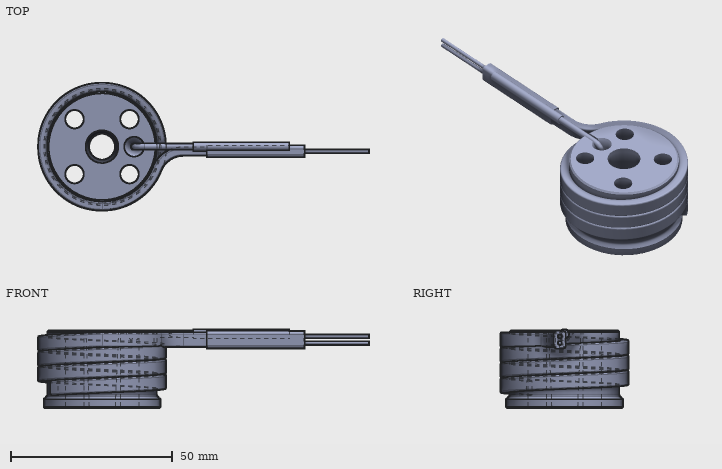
import cadquery as cq
import math

overall_length = 102.3

core_radius = 17.0
core_height = 24.0
rim_chamfer = 0.5
flange_radius = 18.1
flange_straight = 2.8
flange_slope_angle = 45
flange_slope = flange_radius - core_radius
flange_root_rounding = 0.8
flange_bottom_chamfer = 0.4

bore_top_diameter = 10.1
bore_bottom_diameter = 8.0
bolt_hole_diameter = 5.6
bolt_spacing = 17.0

coil_diameter = 39.6
coil_radius = coil_diameter / 2
band_thickness = 2.9
band_height = 4.6
band_rounding = 0.5
band_middle_radius = coil_radius - band_thickness / 2
coil_pitch = 4.7
coil_start_angle = 216.4
lead_start_angle = -90
coil_end_angle = lead_start_angle + 4 * 360
coil_turns = (coil_end_angle - coil_start_angle) / 360
lead_height = 21.2
coil_start_height = lead_height - coil_turns * coil_pitch

lead_middle_y = -1.4
bend_inner_radius = 7.2
bend_radius = bend_inner_radius + band_thickness / 2
bend_center_y = lead_middle_y - bend_radius
bend_end_x = math.sqrt((band_middle_radius + bend_radius) ** 2 - bend_center_y**2)

sleeve_start = 32.4
sleeve_length = 30.2
sleeve_middle_x = sleeve_start + sleeve_length / 2
sleeve_wall = 0.46
sleeve_thickness = band_thickness + 2 * sleeve_wall
sleeve_height = band_height + 2 * sleeve_wall
sleeve_rounding = 1.0
wire_radius = 0.6
wire_spacing = 2.0
wire_end = overall_length - coil_radius

cable_radius = 1.0
cable_height = core_height - cable_radius
well_x = 9.9
well_radius = 3.1
well_depth = 3.1
cable_sleeve_radius = 1.4
cable_sleeve_start = 28.1
cable_sleeve_length = 29.8
cable_sleeve_middle_x = cable_sleeve_start + cable_sleeve_length / 2


def point_on_circle(radius, angle):
    return (radius * math.cos(math.radians(angle)), radius * math.sin(math.radians(angle)))


def round_bar(start, length, radius, y, z):
    """Cylinder along X."""
    return cq.Workplane("YZ", origin=(start, y, z)).circle(radius).extrude(length)


def band_section(workplane):
    """Rounded rectangle of the heater band, centred on the given plane."""
    outline = cq.Sketch().rect(band_thickness, band_height).vertices().fillet(band_rounding)
    return workplane.placeSketch(outline)


def make_core():
    """Drum turned about Z, with a rounded root where the sloped flange meets the wall."""
    corner_z = flange_straight + flange_slope
    root_length = flange_root_rounding * math.tan(math.radians(flange_slope_angle / 2))
    root_step = root_length * math.sin(math.radians(flange_slope_angle))
    outline = (
        cq.Workplane("XZ")
        .lineTo(flange_radius - flange_bottom_chamfer, 0)
        .lineTo(flange_radius, flange_bottom_chamfer)
        .lineTo(flange_radius, flange_straight)
        .lineTo(core_radius + root_step, corner_z - root_step)
        .tangentArcPoint((core_radius, corner_z + root_length), relative=False)
        .lineTo(core_radius, core_height - rim_chamfer)
        .lineTo(core_radius - rim_chamfer, core_height)
        .lineTo(0, core_height)
        .close()
    )
    return outline.revolve(360, (0, 0, 0), (0, 1, 0))


def make_coil():
    """Helical turns of the band, rising anticlockwise seen from above."""
    path = cq.Wire.makeHelix(coil_pitch, coil_turns * coil_pitch, band_middle_radius)
    section = band_section(cq.Workplane("XZ", origin=(band_middle_radius, 0, 0)))
    coil = section.sweep(cq.Workplane(path), isFrenet=True)
    return coil.rotate((0, 0, 0), (0, 0, 1), coil_start_angle).translate((0, 0, coil_start_height))


def make_lead():
    """Level end of the band: around the core, through the reversed bend and out along X."""
    meeting_angle = math.degrees(math.atan2(bend_center_y, bend_end_x))
    bend_end_angle = 90
    arc_start = point_on_circle(band_middle_radius, lead_start_angle)
    arc_middle = point_on_circle(band_middle_radius, (lead_start_angle + meeting_angle) / 2)
    arc_end = point_on_circle(band_middle_radius, meeting_angle)
    bend_step = point_on_circle(bend_radius, (meeting_angle + 180 + bend_end_angle) / 2)
    bend_middle = (bend_end_x + bend_step[0], bend_center_y + bend_step[1])
    path = (
        cq.Workplane("XY", origin=(0, 0, lead_height))
        .moveTo(*arc_start)
        .threePointArc(arc_middle, arc_end)
        .threePointArc(bend_middle, (bend_end_x, lead_middle_y))
        .lineTo(sleeve_middle_x, lead_middle_y)
    )
    start_plane = cq.Plane(origin=(*arc_start, lead_height), xDir=(0, 1, 0), normal=(1, 0, 0))
    return band_section(cq.Workplane(start_plane)).sweep(path)


def make_lead_end():
    """Round-cornered sleeve over the lead with two wires coming out of it."""
    end = (
        cq.Workplane("YZ", origin=(sleeve_start, lead_middle_y, lead_height))
        .rect(sleeve_thickness, sleeve_height)
        .extrude(sleeve_length)
        .edges("|X")
        .fillet(sleeve_rounding)
    )
    for side in (-1, 1):
        wire_z = lead_height + side * wire_spacing / 2
        end = end.union(
            round_bar(sleeve_middle_x, wire_end - sleeve_middle_x, wire_radius, lead_middle_y, wire_z)
        )
    return end


def make_cable():
    """Cable running along X that drops through a quarter bend into the well."""
    path = (
        cq.Workplane("XZ")
        .moveTo(cable_sleeve_middle_x, cable_height)
        .lineTo(well_x + well_radius, cable_height)
        .radiusArc((well_x, cable_height - well_radius), -well_radius)
    )
    start = cq.Workplane("YZ", origin=(cable_sleeve_middle_x, 0, cable_height))
    cable = start.circle(cable_radius).sweep(path)
    sleeve = round_bar(cable_sleeve_start, cable_sleeve_length, cable_sleeve_radius, 0, cable_height)
    return cable.union(sleeve)


def make_bore():
    """Tapered bore through the whole core."""
    return (
        cq.Workplane("XY")
        .circle(bore_bottom_diameter / 2)
        .workplane(offset=core_height)
        .circle(bore_top_diameter / 2)
        .loft()
    )


def make_well():
    """Conical pocket with a shallow channel for the cable running to the rim."""
    cone = (
        cq.Workplane("XY", origin=(well_x, 0, core_height))
        .circle(well_radius)
        .workplane(offset=-well_depth)
        .circle(cable_radius)
        .loft()
    )
    channel = cq.Workplane("XY", origin=(well_x, 0, cable_height)).box(
        core_radius, 2 * cable_radius, 2 * cable_radius, centered=(False, True, False)
    )
    return cone.union(channel)


def make_bolt_holes():
    return (
        cq.Workplane("XY")
        .rect(bolt_spacing, bolt_spacing, forConstruction=True)
        .vertices()
        .circle(bolt_hole_diameter / 2)
        .extrude(core_height)
    )


core = make_core().cut(make_bore()).cut(make_bolt_holes()).cut(make_well())
result = core.union(make_coil()).union(make_lead()).union(make_lead_end()).union(make_cable())